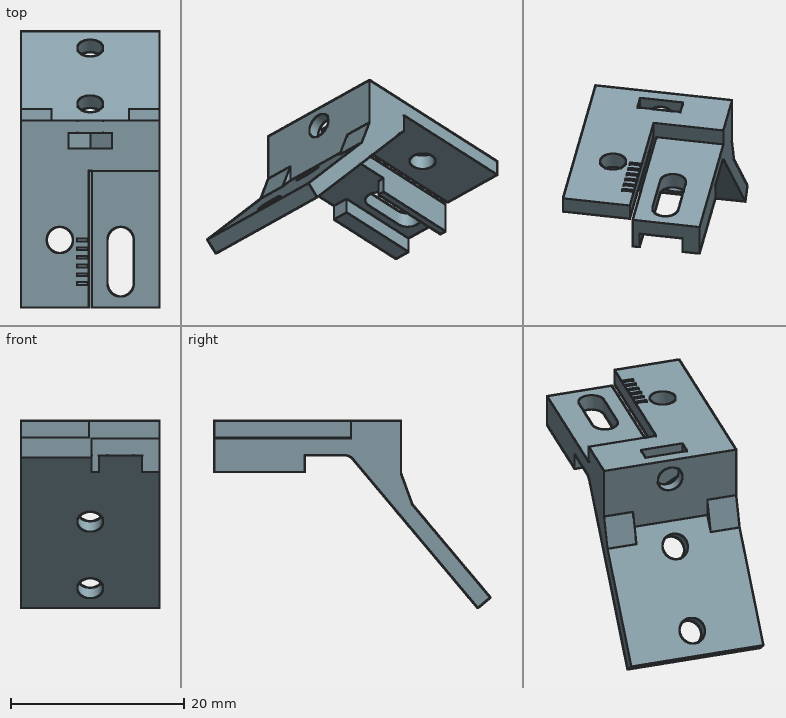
import cadquery as cq
import math

width = 16.0
length = 31.9
height = 21.62
half_width = width / 2

block_back = 21.6
arm_length = 15.8
arm_gap = 0.32
left_arm_bottom = -1.95
right_arm_top = -2.05
right_arm_bottom = -4.0
rail_bottom = -5.93
rail_length = 10.5
channel_left = 1.0
channel_width = 5.0

leg_angle = 50.0
leg_thickness = 1.9
root_radius = 1.28
gusset_width = 3.5
gusset_top = -6.1
gusset_foot_y = 22.9

hole_diameter = 3.0
hole_radius = hole_diameter / 2
leg_hole_from_tip = 3.0
leg_hole_pitch = 10.0

arm_hole_x = 3.5
arm_hole_y = 7.8
slot_travel = 5.0

nut_flats = 5.05
nut_front = 18.35
nut_thickness = 1.82
nut_z = -2.5

tick_count = 6
tick_pitch = 1.0
tick_length = 1.2
tick_width = 0.32
tick_depth = 0.2
tick_center_x = -0.92
cut_margin = 3.2

sin_leg = math.sin(math.radians(leg_angle))
cos_leg = math.cos(math.radians(leg_angle))
slope = sin_leg / cos_leg
tip_bottom = (length - leg_thickness * sin_leg, -height)
tip_top = (length, -height + leg_thickness * cos_leg)


def leg_top_z(y):
    """Height of the upper leg face at a given Y."""
    return tip_top[1] + (length - y) * slope


def box(x_range, y_range, z_range):
    """Box spanning the given (low, high) ranges."""
    low, high = zip(x_range, y_range, z_range)
    sizes = [b - a for a, b in zip(low, high)]
    return cq.Workplane("XY").box(*sizes, centered=False).translate(low)


def profile(points, x_low, x_high):
    """YZ outline extruded along X."""
    return cq.Workplane("YZ", origin=(x_low, 0, 0)).polyline(points).close().extrude(x_high - x_low)


def body():
    """Block, full-width upper plate and sloping leg with a rounded root."""
    root_y = tip_bottom[0] - (right_arm_bottom - tip_bottom[1]) / slope
    tangent = root_radius * math.tan(math.radians(leg_angle / 2))
    arc_start = (root_y - tangent, right_arm_bottom)
    arc_end = (root_y + tangent * cos_leg, right_arm_bottom - tangent * sin_leg)
    return (
        cq.Workplane("YZ", origin=(-half_width, 0, 0))
        .moveTo(0, 0)
        .lineTo(block_back, 0)
        .lineTo(block_back, leg_top_z(block_back))
        .lineTo(*tip_top)
        .lineTo(*tip_bottom)
        .lineTo(*arc_end)
        .tangentArcPoint(arc_start, relative=False)
        .lineTo(0, right_arm_bottom)
        .close()
        .extrude(width)
    )


def gusset(x_low):
    """Side web between the block's rear wall and the leg."""
    points = [
        (block_back, gusset_top),
        (gusset_foot_y, leg_top_z(gusset_foot_y)),
        (block_back, leg_top_z(block_back)),
    ]
    return profile(points, x_low, x_low + gusset_width)


def rails():
    """Two rails below the right arm, separated by a channel."""
    arm_edge = arm_gap / 2
    rail_block = box((arm_edge, half_width), (0, rail_length), (rail_bottom, right_arm_bottom))
    channel_x = (channel_left, channel_left + channel_width)
    return rail_block.cut(box(channel_x, (0, rail_length), (rail_bottom, right_arm_bottom)))


def arm_clearance():
    """Space below the left arm, above the right arm and in the gap between them."""
    arm_edge = arm_gap / 2
    arm_y = (0, arm_length)
    below_left = box((-half_width, arm_edge), arm_y, (rail_bottom, left_arm_bottom))
    above_right = box((-arm_edge, half_width), arm_y, (right_arm_top, 0))
    gap = box((-arm_edge, arm_edge), arm_y, (rail_bottom, 0))
    return below_left.union(above_right).union(gap)


def arm_holes():
    """Round hole in the left arm and long slot in the right arm."""
    depth = rail_bottom - cut_margin
    slot_y = arm_hole_y - slot_travel / 2
    round_hole = cq.Workplane("XY").center(-arm_hole_x, arm_hole_y).circle(hole_radius).extrude(depth)
    slot = (
        cq.Workplane("XY")
        .center(arm_hole_x, slot_y)
        .slot2D(slot_travel + hole_diameter, hole_diameter, 90)
        .extrude(depth)
    )
    return round_hole.union(slot)


def leg_hole(from_tip):
    """Hole square to the leg, placed along its upper face from the tip."""
    normal = cq.Vector(0, sin_leg, cos_leg)
    center = cq.Vector(0, tip_top[0] - from_tip * cos_leg, tip_top[1] + from_tip * sin_leg)
    start = center - normal * (leg_thickness + cut_margin)
    return cq.Solid.makeCylinder(hole_radius, leg_thickness + 2 * cut_margin, start, normal)


def nut_trap():
    """Hexagonal nut pocket open to the top, with a screw hole from the rear wall."""
    half_flats = nut_flats / 2
    corner = nut_flats / math.sqrt(3)
    outline = [
        (-half_flats, 0),
        (-half_flats, nut_z - corner / 2),
        (0, nut_z - corner),
        (half_flats, nut_z - corner / 2),
        (half_flats, 0),
    ]
    nut_back = nut_front + nut_thickness
    pocket = cq.Workplane("XZ", origin=(0, nut_back, 0)).polyline(outline).close().extrude(nut_thickness)
    screw = cq.Workplane("XZ", origin=(0, block_back, nut_z)).circle(hole_radius)
    return pocket.union(screw.extrude(block_back - nut_front))


def tick(index):
    """One engraved scale mark; the first is level with the round arm hole."""
    y = arm_hole_y - index * tick_pitch
    mark = cq.Workplane("XY").center(tick_center_x, y).rect(tick_length, tick_width)
    return mark.extrude(-tick_depth)


result = body().cut(arm_clearance()).union(rails())
for gusset_x in (-half_width, half_width - gusset_width):
    result = result.union(gusset(gusset_x))
result = result.cut(arm_holes()).cut(nut_trap())
for hole_index in range(2):
    result = result.cut(leg_hole(leg_hole_from_tip + hole_index * leg_hole_pitch))
for tick_index in range(tick_count):
    result = result.cut(tick(tick_index))